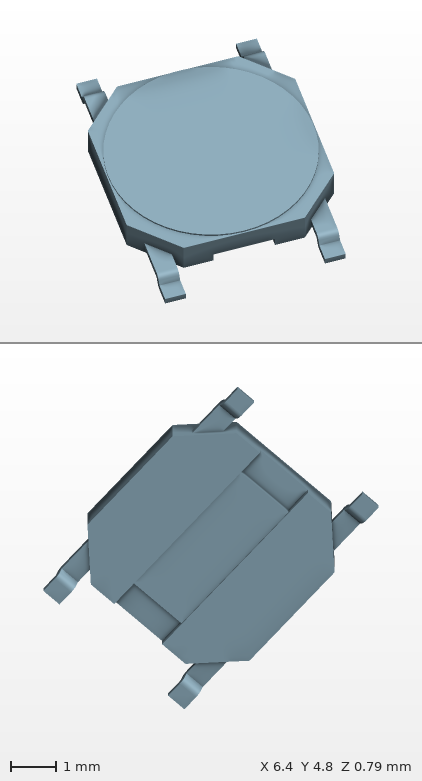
import cadquery as cq
import math

overall_length = 6.4
overall_height = 0.79

body_size = 4.8
body_bottom = 0.045
cover_height = 0.045
cover_diameter = 4.75
corner_chamfer = 1.0
body_top = overall_height - cover_height

channel_width = 1.42
channel_top = 0.25
channel_middle_top = 0.09
end_notch_depth = 0.64

lead_width = 0.48
lead_offset_y = 1.85
lead_thickness = 0.155
lead_rise = 0.2
foot_length = 0.4
bend_angle = math.radians(60)
bend_diameter = 0.35
lead_inner_x = 1.28


def make_housing():
    """Chamfered square block with a thin round cover on top."""
    block = (
        cq.Workplane("XY", origin=(0, 0, body_bottom))
        .rect(body_size, body_size)
        .extrude(body_top - body_bottom)
        .edges("|Z")
        .chamfer(corner_chamfer)
    )
    cover = (
        cq.Workplane("XY", origin=(0, 0, body_top))
        .circle(cover_diameter / 2)
        .extrude(cover_height)
    )
    return block.union(cover)


def make_channel():
    """Full-length channel along X, with a shallower middle between two end notches."""
    middle_length = body_size - 2 * end_notch_depth
    channel = cq.Workplane("XY").box(
        body_size, channel_width, channel_top, centered=(True, True, False)
    )
    middle_fill = cq.Workplane("XY", origin=(0, 0, channel_middle_top)).box(
        middle_length, channel_width, channel_top - channel_middle_top, centered=(True, True, False)
    )
    return channel.cut(middle_fill)


def make_lead(center_y):
    """Lead on the +X side: flat foot, sloped bend and arm reaching into the housing."""
    tip_x = overall_length / 2
    slope_run = lead_rise / math.tan(bend_angle)
    miter = lead_thickness * math.tan(bend_angle / 2)
    foot_inner_bend_x = tip_x - foot_length
    arm_outer_bend_x = foot_inner_bend_x - slope_run
    profile = [
        (tip_x, 0),
        (tip_x, lead_thickness),
        (foot_inner_bend_x, lead_thickness),
        (arm_outer_bend_x, lead_thickness + lead_rise),
        (lead_inner_x, lead_thickness + lead_rise),
        (lead_inner_x, lead_rise),
        (arm_outer_bend_x - miter, lead_rise),
        (foot_inner_bend_x - miter, 0),
    ]
    lead = (
        cq.Workplane("XZ", origin=(0, center_y, 0))
        .polyline(profile)
        .close()
        .extrude(lead_width / 2, both=True)
    )
    outer_bends = [
        (arm_outer_bend_x, lead_thickness + lead_rise),
        (foot_inner_bend_x - miter, 0),
    ]
    for x, z in outer_bends:
        bend_edge = cq.selectors.NearestToPointSelector((x, center_y, z))
        lead = lead.edges(bend_edge).fillet(bend_diameter / 2)
    return lead


result = make_housing().cut(make_channel())
for side_y in (-1, 1):
    right_lead = make_lead(side_y * lead_offset_y)
    result = result.union(right_lead).union(right_lead.mirror("YZ"))